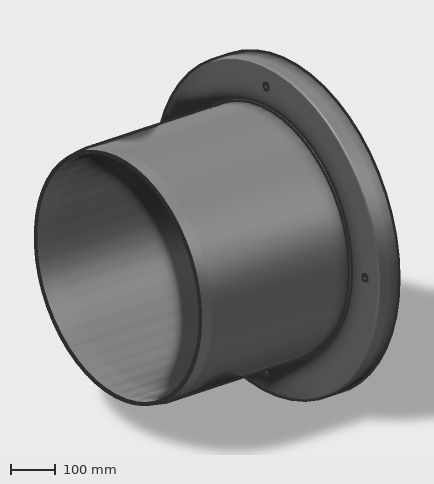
import cadquery as cq

flange_diameter = 800.0
flange_thickness = 60.0
edge_radius = 6.0

tube_diameter = 600.0
bore_diameter = 581.0
overall_length = 490.0
taper_length = 30.0
tip_diameter = 590.0

root_bevel = 5.0

hole_diameter = 18.0
hole_circle_diameter = 700.0
hole_count = 4


def revolved_body():
    """Flanged tube about the Y axis: flange back at Y = 0, open tip towards -Y."""
    flange_radius = flange_diameter / 2
    tube_radius = tube_diameter / 2
    bore_radius = bore_diameter / 2
    profile = (
        cq.Workplane("XY")
        .moveTo(bore_radius, 0)
        .lineTo(flange_radius, 0)
        .lineTo(flange_radius, edge_radius - flange_thickness)
        .radiusArc((flange_radius - edge_radius, -flange_thickness), edge_radius)
        .lineTo(tube_radius + root_bevel, -flange_thickness)
        .lineTo(tube_radius, -flange_thickness - root_bevel)
        .lineTo(tube_radius, taper_length - overall_length)
        .lineTo(tip_diameter / 2, -overall_length)
        .lineTo(bore_radius, -overall_length)
        .close()
    )
    return profile.revolve(360, (0, 0, 0), (0, 1, 0))


def flange_holes():
    """Through holes on the flange, evenly spaced and starting on +X."""
    return (
        cq.Workplane("XZ")
        .polarArray(hole_circle_diameter / 2, 0, 360, hole_count)
        .circle(hole_diameter / 2)
        .extrude(flange_thickness)
    )


result = revolved_body().cut(flange_holes())